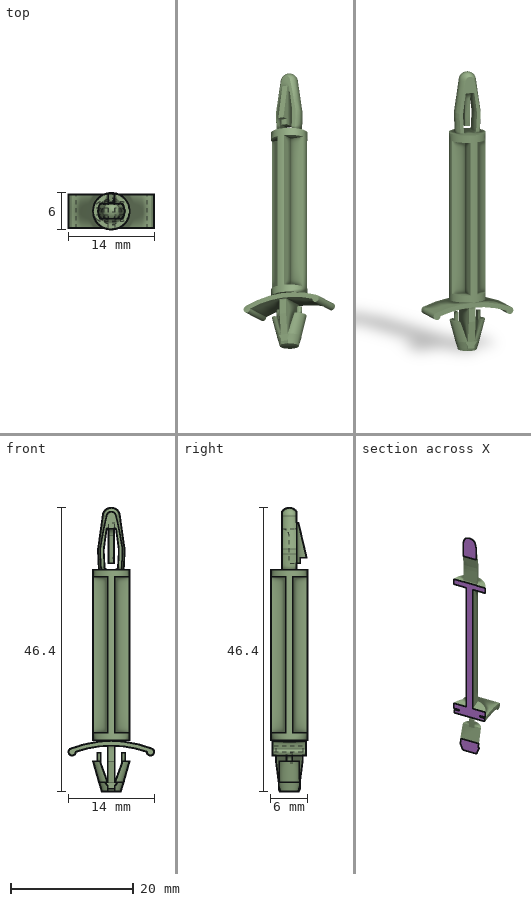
import cadquery as cq
import math

POST_LENGTH = 27.9
POST_RADIUS = 3.0
FLANGE_THICKNESS = 1.2
RIB_WIDTH = 1.2

CLIP_HEIGHT = 10.1
CLIP_THICKNESS = 2.4
CLIP_BASE_RADIUS = 2.05
CLIP_BULGE_RADIUS = 2.18
CLIP_DOME_RADIUS = 1.42
BULGE_BOTTOM = 2.6
BULGE_TOP = 3.4
DOME_START = 8.8

WINDOW_HEIGHT = 6.7
WINDOW_BASE_HALF_WIDTH = 1.05
WINDOW_BULGE_HALF_WIDTH = 1.2
WINDOW_TOP_HALF_WIDTH = 0.75
WINDOW_CORNER_RADIUS = 0.2
WINDOW_BASE_FILLET = 0.3

LATCH_WIDTH = 0.95
LATCH_FILLET = 1.1
LATCH_INNER_Y = LATCH_FILLET - CLIP_THICKNESS / 2
LATCH_BOTTOM = 1.0
LATCH_FOOT_Y = 1.8
WEDGE_BOTTOM = 1.9
WEDGE_REACH_Y = 2.85
WEDGE_TOP = 7.65
WEDGE_TOP_Y = 1.5

PLATE_LENGTH = 14.0
PLATE_WIDTH = 5.5
PLATE_THICKNESS = 0.8
PLATE_BEAD_RADIUS = 0.6
PLATE_BEAD_Z = -1.9
PLATE_APEX_Z = -0.1
NECK_RADIUS = 2.1

ANCHOR_BOTTOM = -8.4
ANCHOR_CHAMFER_Z = -7.95
STEM_WIDTH = 1.2
STEM_HALF_DEPTH = 2.2
STEM_END_HALF_DEPTH = 1.75
STEM_FOOT_HALF_DEPTH = 1.55
BARB_TOP = -3.4
BARB_REACH = 3.0
BARB_RADIUS = 1.7
BARB_INNER_TOP_X = 1.85
BARB_INNER_BOTTOM_X = STEM_WIDTH / 2
BARB_ROOT_Z = -6.85
FOOT_RADIUS = 1.55
FOOT_TOP_RADIUS = 2.02
PEG_TOP = -2.0
PEG_INNER_X = 1.7
PEG_OUTER_X = 2.3
PEG_DEPTH = 0.9


def box_between(x_min, x_max, depth, z_min, z_max):
    """Box centred on y = 0 between two x and two z limits."""
    box = cq.Workplane("XY").box(x_max - x_min, depth, z_max - z_min, centered=(False, True, False))
    return box.translate((x_min, 0, z_min))


def make_post():
    """Cross-ribbed post with a round flange at each end."""
    flange = cq.Workplane("XY").circle(POST_RADIUS).extrude(FLANGE_THICKNESS)
    rib_along_x = box_between(-POST_RADIUS, POST_RADIUS, RIB_WIDTH, 0, POST_LENGTH)
    cross = rib_along_x.union(rib_along_x.rotate((0, 0, 0), (0, 0, 1), 90))
    envelope = cq.Workplane("XY").circle(POST_RADIUS).extrude(POST_LENGTH)
    top_flange = flange.translate((0, 0, POST_LENGTH - FLANGE_THICKNESS))
    return cross.intersect(envelope).union(flange).union(top_flange)


def make_clip_body():
    """Bullet-shaped body of revolution, flattened in y and opened by the window."""
    dome_height = CLIP_HEIGHT - DOME_START
    dome_sphere = (CLIP_DOME_RADIUS**2 + dome_height**2) / (2 * dome_height)
    dome_centre = CLIP_HEIGHT - dome_sphere
    mid_angle = (math.pi / 2 + math.atan2(DOME_START - dome_centre, CLIP_DOME_RADIUS)) / 2
    dome_mid = (dome_sphere * math.cos(mid_angle), dome_centre + dome_sphere * math.sin(mid_angle))
    bullet = (
        cq.Workplane("XZ")
        .lineTo(CLIP_BASE_RADIUS, 0)
        .lineTo(CLIP_BULGE_RADIUS, BULGE_BOTTOM)
        .lineTo(CLIP_BULGE_RADIUS, BULGE_TOP)
        .lineTo(CLIP_DOME_RADIUS, DOME_START)
        .threePointArc(dome_mid, (0, CLIP_HEIGHT))
        .close()
        .revolve(360, (0, 0, 0), (0, 1, 0))
    )
    slab = box_between(-POST_RADIUS, POST_RADIUS, CLIP_THICKNESS, 0, CLIP_HEIGHT)
    right_side = [
        (WINDOW_BASE_HALF_WIDTH, 0),
        (WINDOW_BULGE_HALF_WIDTH, BULGE_BOTTOM),
        (WINDOW_BULGE_HALF_WIDTH, BULGE_TOP),
        (WINDOW_TOP_HALF_WIDTH, WINDOW_HEIGHT),
    ]
    left_side = [(-x, z) for x, z in reversed(right_side)]
    window = (
        cq.Workplane("XZ")
        .polyline(right_side + left_side)
        .close()
        .extrude(CLIP_THICKNESS, both=True)
        .edges("|Y and >Z")
        .fillet(WINDOW_CORNER_RADIUS)
        .edges("|Y and <Z")
        .fillet(WINDOW_BASE_FILLET)
    )
    return bullet.intersect(slab).cut(window)


def make_latch():
    """Tongue and wedge, blended into the ceiling of the window by a round fillet."""
    fillet_start_z = WINDOW_HEIGHT - LATCH_FILLET
    fillet_end_y = LATCH_INNER_Y - LATCH_FILLET
    diagonal = LATCH_FILLET * math.sqrt(0.5)
    return (
        cq.Workplane("YZ")
        .moveTo(LATCH_INNER_Y, LATCH_BOTTOM)
        .lineTo(LATCH_FOOT_Y, LATCH_BOTTOM)
        .lineTo(LATCH_FOOT_Y, WEDGE_BOTTOM)
        .lineTo(WEDGE_REACH_Y, WEDGE_BOTTOM)
        .lineTo(WEDGE_TOP_Y, WEDGE_TOP)
        .lineTo(fillet_end_y, WEDGE_TOP)
        .lineTo(fillet_end_y, WINDOW_HEIGHT)
        .threePointArc(
            (fillet_end_y + diagonal, fillet_start_z + diagonal),
            (LATCH_INNER_Y, fillet_start_z),
        )
        .close()
        .extrude(LATCH_WIDTH / 2, both=True)
    )


def make_plate():
    """Bowed plate whose upper arc is tangent to the round beads along its ends."""
    bead_x = PLATE_LENGTH / 2 - PLATE_BEAD_RADIUS
    drop = PLATE_APEX_Z - PLATE_BEAD_Z
    outer_radius = (bead_x**2 + drop**2 - PLATE_BEAD_RADIUS**2) / (2 * (drop - PLATE_BEAD_RADIUS))
    inner_radius = outer_radius - PLATE_THICKNESS
    centre_z = PLATE_APEX_Z - outer_radius
    half_angle = math.asin(bead_x / (outer_radius - PLATE_BEAD_RADIUS))

    def on_arc(radius, angle):
        return (radius * math.sin(angle), centre_z + radius * math.cos(angle))

    plate = (
        cq.Workplane("XZ")
        .moveTo(*on_arc(outer_radius, -half_angle))
        .threePointArc(on_arc(outer_radius, 0), on_arc(outer_radius, half_angle))
        .lineTo(*on_arc(inner_radius, half_angle))
        .threePointArc(on_arc(inner_radius, 0), on_arc(inner_radius, -half_angle))
        .close()
        .extrude(PLATE_WIDTH / 2, both=True)
    )
    beads = (
        cq.Workplane("XZ")
        .pushPoints([(-bead_x, PLATE_BEAD_Z), (bead_x, PLATE_BEAD_Z)])
        .circle(PLATE_BEAD_RADIUS)
        .extrude(PLATE_WIDTH / 2, both=True)
    )
    neck_depth = PLATE_THICKNESS / 2 - PLATE_APEX_Z
    neck = cq.Workplane("XY").circle(NECK_RADIUS).extrude(-neck_depth)
    return plate.union(beads).union(neck)


def make_stem():
    """Flat central stem, narrowing in y below the top of the barbs."""
    stem_top = PLATE_APEX_Z - PLATE_THICKNESS / 2
    right_side = [
        (STEM_HALF_DEPTH, stem_top),
        (STEM_HALF_DEPTH, BARB_TOP),
        (STEM_END_HALF_DEPTH, BARB_ROOT_Z),
        (STEM_END_HALF_DEPTH, ANCHOR_CHAMFER_Z),
        (STEM_FOOT_HALF_DEPTH, ANCHOR_BOTTOM),
    ]
    left_side = [(-y, z) for y, z in reversed(right_side)]
    outline = cq.Workplane("YZ").polyline(right_side + left_side).close()
    return outline.extrude(STEM_WIDTH / 2, both=True)


def make_foot():
    """Tapered round foot that joins the barbs, flattened to the depth of the stem."""
    cone = (
        cq.Workplane("XY", origin=(0, 0, ANCHOR_BOTTOM))
        .circle(FOOT_RADIUS)
        .workplane(offset=BARB_ROOT_Z - ANCHOR_BOTTOM)
        .circle(FOOT_TOP_RADIUS)
        .loft()
    )
    depth = 2 * STEM_END_HALF_DEPTH
    return cone.intersect(box_between(-FOOT_TOP_RADIUS, FOOT_TOP_RADIUS, depth, ANCHOR_BOTTOM, BARB_ROOT_Z))


def make_barb():
    """Rounded springy arm on the +X side, with a small peg on its upper end."""
    arm = (
        cq.Workplane("XY", origin=(0, 0, BARB_ROOT_Z))
        .center(FOOT_TOP_RADIUS - BARB_RADIUS, 0)
        .circle(BARB_RADIUS)
        .workplane(offset=BARB_TOP - BARB_ROOT_Z)
        .center(BARB_REACH - FOOT_TOP_RADIUS, 0)
        .circle(BARB_RADIUS)
        .loft()
    )
    keep = (
        cq.Workplane("XZ")
        .moveTo(BARB_INNER_BOTTOM_X, BARB_ROOT_Z)
        .lineTo(BARB_REACH, BARB_ROOT_Z)
        .lineTo(BARB_REACH, BARB_TOP)
        .lineTo(BARB_INNER_TOP_X, BARB_TOP)
        .close()
        .extrude(BARB_REACH, both=True)
    )
    peg_root = BARB_TOP - (PEG_OUTER_X - PEG_INNER_X) / 2
    peg = (
        cq.Workplane("XY", origin=(0, 0, peg_root))
        .moveTo(PEG_INNER_X, -PEG_DEPTH / 2)
        .threePointArc((PEG_OUTER_X, 0), (PEG_INNER_X, PEG_DEPTH / 2))
        .close()
        .extrude(PEG_TOP - peg_root)
    )
    return arm.intersect(keep).union(peg)


clip = make_clip_body().union(make_latch()).translate((0, 0, POST_LENGTH))
barb = make_barb()
anchor = make_stem().union(make_foot()).union(barb).union(barb.mirror("YZ"))
result = make_post().union(clip).union(make_plate()).union(anchor)